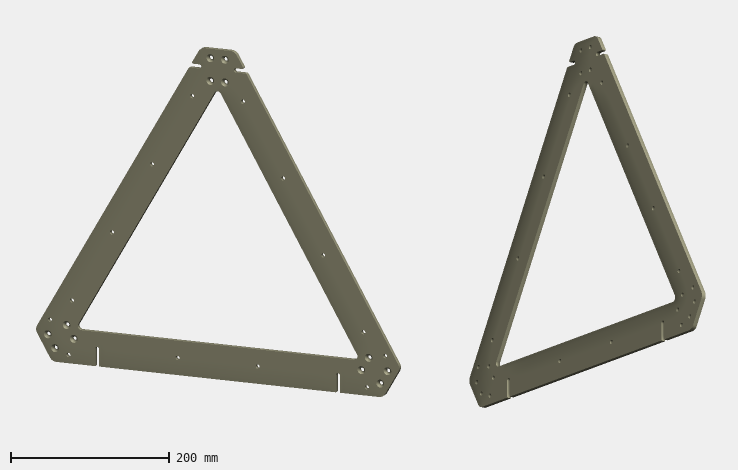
import cadquery as cq
import math


plate_width = 496.5
plate_thickness = 6.0
band_width = 45.0
corner_cut = 46.5
outer_radius = 10.0
window_radius = 5.0

pin_hole_pitch = 109.7
pin_hole_diameter = 5.5

screw_pitch_across = 20.0
screw_pitch_along = 30.0
screw_edge_distance = 12.5
screw_diameter = 5.5
countersink_diameter = 10.5
countersink_angle = 90

tab_pitch = 50.0
tab_edge_distance = 25.0

slot_width = 5.5
mouth_radius = 1.5

corner_shortfall = outer_radius * (1 / math.cos(math.radians(30)) - 1)
side_length = plate_width + 2 * corner_shortfall + corner_cut
side_distance = side_length * math.sqrt(3) / 6
tip_distance = 2 * side_distance - corner_cut * math.sqrt(3) / 2
window_side = side_length - 2 * math.sqrt(3) * band_width
band_center_distance = side_distance - band_width / 2
tab_distance = tip_distance - tab_edge_distance
inner_hole_position = pin_hole_pitch / 2
outer_hole_position = 1.5 * pin_hole_pitch
slot_cutter_length = corner_cut

CORNER_ANGLES = (0, 120, 240)
LOWER_CORNER_ANGLES = CORNER_ANGLES[1:]


def turned(point, angle):
    """Turn an (x, z) point about the plate centre."""
    x, z = point
    a = math.radians(angle)
    return (x * math.cos(a) - z * math.sin(a), x * math.sin(a) + z * math.cos(a))


def prism(points):
    """Extrude an outline in (x, z) through the plate thickness, centred on Y = 0."""
    return cq.Workplane("XZ").polyline(points).close().extrude(plate_thickness / 2, both=True)


def outer_plate():
    half_cut = corner_cut / 2
    outline = [turned((x, tip_distance), a) for a in CORNER_ANGLES for x in (half_cut, -half_cut)]
    return prism(outline).edges("|Y").fillet(outer_radius)


def window():
    apex = (0, window_side / math.sqrt(3))
    return prism([turned(apex, a) for a in CORNER_ANGLES]).edges("|Y").fillet(window_radius)


def slot(end_center, angle):
    """Cutter with a round end about end_center, running out past the plate edge at an angle from +X."""
    offset_x, offset_z = turned((slot_cutter_length / 2, 0), angle)
    return (
        cq.Workplane("XZ")
        .center(end_center[0] + offset_x, end_center[1] + offset_z)
        .slot2D(slot_cutter_length + slot_width, slot_width, angle)
        .extrude(plate_thickness / 2, both=True)
    )


def cut_top_slots(plate):
    """Level slots in from both slanted sides, with rounded mouths."""
    plate = plate.cut(slot((tab_pitch / 2, tab_distance), 0))
    plate = plate.cut(slot((-tab_pitch / 2, tab_distance), 180))
    mouth_edges = []
    for side in (-1, 1):
        for z in (tab_distance - slot_width / 2, tab_distance + slot_width / 2):
            x = side * (2 * side_distance - z) / math.sqrt(3)
            mouth_edges.append(plate.edges(cq.NearestToPointSelector((x, 0, z))).val())
    return plate.newObject(mouth_edges).fillet(mouth_radius)


def cut_bottom_slots(plate):
    for x in (-outer_hole_position, outer_hole_position):
        plate = plate.cut(slot((x, -band_center_distance), -90))
    return plate


def pin_hole_points():
    """Holes along the band centre lines, and a pair across each lower corner."""
    inner_pair = (-inner_hole_position, inner_hole_position)
    outer_pair = (-outer_hole_position, outer_hole_position)
    points = [(x, -band_center_distance) for x in inner_pair]
    for angle in LOWER_CORNER_ANGLES:
        points += [turned((x, -band_center_distance), angle) for x in inner_pair + outer_pair]
        points += [turned((x, tab_distance), angle) for x in (-tab_pitch / 2, tab_pitch / 2)]
    return points


def screw_points():
    """Four screws at each corner."""
    first_row = tip_distance - screw_edge_distance
    rows = (first_row, first_row - screw_pitch_along)
    columns = (-screw_pitch_across / 2, screw_pitch_across / 2)
    return [turned((x, z), a) for a in CORNER_ANGLES for z in rows for x in columns]


def front_face(plate):
    """Workplane on the front face, in (x, z); its normal points out of the plate."""
    return plate.copyWorkplane(cq.Workplane("XZ", origin=(0, -plate_thickness / 2, 0)))


plate = outer_plate().cut(window())
plate = cut_top_slots(plate)
plate = cut_bottom_slots(plate)
plate = front_face(plate).pushPoints(pin_hole_points()).hole(pin_hole_diameter)
plate = front_face(plate).pushPoints(screw_points()).cskHole(
    screw_diameter, countersink_diameter, countersink_angle
)

result = plate